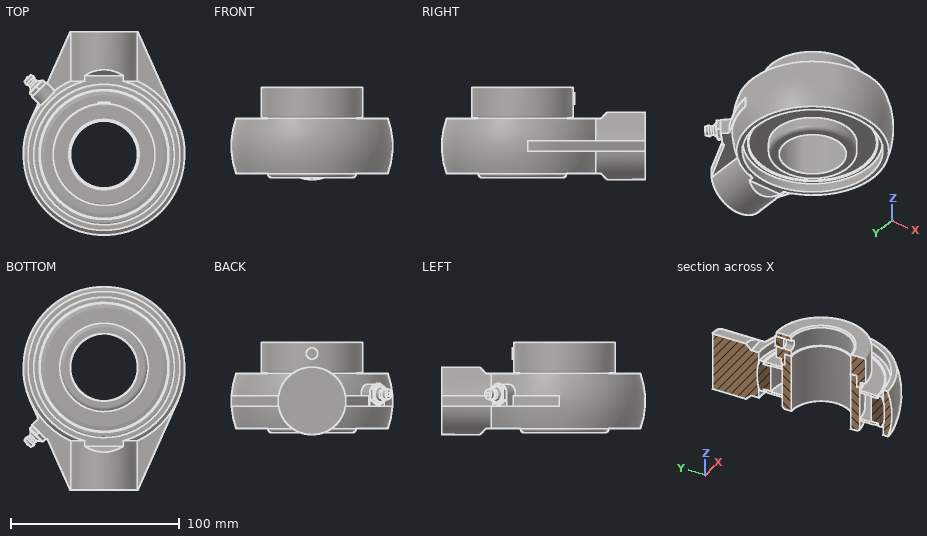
import cadquery as cq
import math

cutter_margin = 1.2

sphere_radius = 47.9
housing_half_height = 16.4
seat_radius = 85.2 / 2
opening_radius = 83.2 / 2

boss_radius = 40.0 / 2
boss_end_y = 72.7
boss_relief_y = 46.5

web_half_thickness = 3.0
web_radius = 48.0
web_tip_y = 3.0

grease_angle = 135
grease_axis_z = 4.0
grease_boss_radius = 6.0
grease_boss_end = 54.3
hex_across_flats = 11.1
hex_height = 2.5
nipple_base_radius = 5.1
nipple_base_height = 0.4
nipple_cone_radius = 4.5
nipple_cone_height = 1.8
nipple_shoulder_radius = 2.9
nipple_shoulder_height = 0.7
nipple_neck_radius = 2.7
nipple_neck_height = 0.7
nipple_head_radius = 6.8 / 2
nipple_flare_height = 1.5
nipple_tip_radius = 2.8
nipple_taper_height = 2.2
nipple_point_radius = 2.5 / 2
nipple_point_height = 0.5

bore_radius = 39.7 / 2
outer_ring_half_width = 11.0
outer_ring_fillet = 0.8
outer_ring_bore_radius = 67.1 / 2
seal_seat_radius = 38.5
seal_rim_radius = 37.9
seal_step_radius = 70.3 / 2
seal_face_z = outer_ring_half_width
seal_thickness = 1.8
seal_inside_z = seal_face_z - seal_thickness
seal_step = 0.5

inner_ring_radius = 52.3 / 2
inner_ring_journal_radius = 48.7 / 2
inner_ring_bottom_z = -18.9
inner_ring_top_z = 20.9
inner_ring_fillet = 2.5
inner_ring_chamfer = 0.4

collar_radius = 60.3 / 2
collar_bottom_z = 16.5
collar_hub_radius = 53.2 / 2
collar_hub_bottom_z = 13.0
collar_top_z = 34.9
collar_edge_fillet = 1.1
collar_bore_chamfer = 1.0
screw_radius = 6.8 / 2
screw_z = 28.1
screw_protrusion = 0.7
screw_length = 6.0


def cylinder(radius, bottom_z, top_z):
    return cq.Workplane("XY").workplane(offset=bottom_z).circle(radius).extrude(top_z - bottom_z)


def revolve_about_z(points):
    """Turn a closed (radius, z) outline into a ring around the bore axis."""
    return cq.Workplane("XZ").polyline(points).close().revolve(360, (0, 0), (0, 1))


def cylinder_along_y(radius, start_y, end_y, z):
    plane = cq.Plane(origin=(0, start_y, z), xDir=(1, 0, 0), normal=(0, 1, 0))
    return cq.Workplane(plane).circle(radius).extrude(end_y - start_y)


def radial_plane(distance):
    """Plane square to the grease axis; its local Y is up."""
    angle = math.radians(grease_angle)
    out = (math.cos(angle), math.sin(angle), 0)
    return cq.Plane(
        origin=(distance * out[0], distance * out[1], grease_axis_z),
        xDir=(-out[1], out[0], 0),
        normal=out,
    )


def mounting_boss():
    boss = cylinder_along_y(boss_radius, 0, boss_end_y, 0)
    rise = boss_radius - housing_half_height + cutter_margin
    top = housing_half_height + rise
    relief_end = boss_relief_y + rise
    envelope = (
        cq.Workplane("YZ")
        .polyline([
            (0, -housing_half_height),
            (boss_relief_y, -housing_half_height),
            (relief_end, -top),
            (boss_end_y, -top),
            (boss_end_y, top),
            (relief_end, top),
            (boss_relief_y, housing_half_height),
            (0, housing_half_height),
        ])
        .close()
        .extrude(boss_radius + cutter_margin, both=True)
    )
    return boss.intersect(envelope)


def web():
    corner_distance = math.hypot(boss_radius, boss_end_y)
    tangent_angle = math.atan2(boss_end_y, boss_radius) - math.acos(web_radius / corner_distance)
    middle_angle = (tangent_angle + math.asin(web_tip_y / web_radius)) / 2

    def on_edge(angle):
        return web_radius * math.cos(angle), web_radius * math.sin(angle)

    tangent_x, tangent_y = on_edge(tangent_angle)
    middle_x, middle_y = on_edge(middle_angle)
    tip_x = math.sqrt(web_radius**2 - web_tip_y**2)
    return (
        cq.Workplane("XY")
        .workplane(offset=-web_half_thickness)
        .moveTo(-boss_radius, boss_end_y)
        .lineTo(boss_radius, boss_end_y)
        .lineTo(tangent_x, tangent_y)
        .threePointArc((middle_x, middle_y), (tip_x, web_tip_y))
        .lineTo(-tip_x, web_tip_y)
        .threePointArc((-middle_x, middle_y), (-tangent_x, tangent_y))
        .close()
        .extrude(2 * web_half_thickness)
    )


def grease_boss():
    floor = -web_half_thickness - grease_axis_z
    return (
        cq.Workplane(radial_plane(seat_radius))
        .moveTo(-grease_boss_radius, floor)
        .lineTo(grease_boss_radius, floor)
        .lineTo(grease_boss_radius, 0)
        .threePointArc((0, grease_boss_radius), (-grease_boss_radius, 0))
        .close()
        .extrude(grease_boss_end - seat_radius)
    )


def make_housing():
    slab = cylinder(sphere_radius + cutter_margin, -housing_half_height, housing_half_height)
    body = cq.Workplane("XY").sphere(sphere_radius).intersect(slab)
    body = body.union(mounting_boss()).union(web()).union(grease_boss())
    opening = cylinder(opening_radius, -housing_half_height, housing_half_height)
    return body.cut(opening).cut(cq.Workplane("XY").sphere(seat_radius))


def make_grease_nipple():
    corner_up = 90
    hexagon_diameter = hex_across_flats / math.cos(math.pi / 6)
    hexagon = (
        cq.Workplane(radial_plane(grease_boss_end))
        .transformed(rotate=(0, 0, corner_up))
        .polygon(6, hexagon_diameter)
        .extrude(hex_height)
    )
    base_top = nipple_base_height
    cone_top = base_top + nipple_cone_height
    shoulder_top = cone_top + nipple_shoulder_height
    neck_top = shoulder_top + nipple_neck_height
    flare_top = neck_top + nipple_flare_height
    tip = flare_top + nipple_taper_height
    stem = (
        cq.Workplane("XZ")
        .moveTo(0, 0)
        .lineTo(nipple_base_radius, 0)
        .lineTo(nipple_base_radius, base_top)
        .lineTo(nipple_cone_radius, base_top)
        .lineTo(nipple_shoulder_radius, cone_top)
        .lineTo(nipple_neck_radius, shoulder_top)
        .lineTo(nipple_neck_radius, neck_top)
        .lineTo(nipple_head_radius, flare_top)
        .lineTo(nipple_tip_radius, tip)
        .lineTo(nipple_point_radius, tip)
        .lineTo(0, tip + nipple_point_height)
        .close()
        .revolve(360, (0, 0), (0, 1))
    )
    seat = cq.Location(radial_plane(grease_boss_end + hex_height))
    return hexagon.union(cq.Workplane(stem.val().moved(seat)))


def make_outer_ring():
    face_z = outer_ring_half_width
    slab = cylinder(seat_radius + cutter_margin, -face_z, face_z)
    ring = cq.Workplane("XY").sphere(seat_radius).intersect(slab)
    ring = ring.faces("<Z or >Z").edges().fillet(outer_ring_fillet)
    ring = ring.cut(cylinder(outer_ring_bore_radius, -face_z, face_z))
    ring = ring.cut(cylinder(seal_seat_radius, seal_inside_z, face_z))
    return ring.cut(cylinder(seal_seat_radius, -face_z, -seal_inside_z))


def make_seal(side):
    """Sealing ring; side is +1 for the upper one and -1 for the lower one."""
    rim_z = seal_face_z - seal_step
    outline = [
        (inner_ring_radius, seal_inside_z),
        (seal_seat_radius, seal_inside_z),
        (seal_rim_radius, rim_z),
        (seal_step_radius, seal_face_z),
        (inner_ring_radius, seal_face_z),
    ]
    return revolve_about_z([(radius, side * z) for radius, z in outline])


def make_inner_ring():
    ring = cylinder(inner_ring_radius, inner_ring_bottom_z, collar_hub_bottom_z)
    ring = ring.faces("<Z").edges().fillet(inner_ring_fillet)
    ring = ring.union(cylinder(inner_ring_journal_radius, collar_hub_bottom_z, inner_ring_top_z))
    ring = ring.cut(cylinder(bore_radius, inner_ring_bottom_z, inner_ring_top_z))
    bore_rim = ring.faces(">Z").edges(cq.selectors.RadiusNthSelector(0))
    return bore_rim.chamfer(inner_ring_chamfer)


def make_collar():
    collar = cylinder(collar_radius, collar_bottom_z, collar_top_z)
    collar = collar.edges("%CIRCLE").fillet(collar_edge_fillet)
    collar = collar.union(cylinder(collar_hub_radius, collar_hub_bottom_z, inner_ring_top_z))
    collar = collar.cut(cylinder(bore_radius, collar_hub_bottom_z, collar_top_z))
    bore_rim = collar.faces(">Z").edges(cq.selectors.RadiusNthSelector(0))
    collar = bore_rim.chamfer(collar_bore_chamfer)
    collar = collar.cut(cylinder(inner_ring_journal_radius, collar_hub_bottom_z, inner_ring_top_z))
    return collar.cut(cylinder_along_y(screw_radius, 0, collar_radius, screw_z))


def make_set_screw():
    outer_end = collar_radius + screw_protrusion
    return cylinder_along_y(screw_radius, outer_end - screw_length, outer_end, screw_z)


housing = make_housing()
grease_nipple = make_grease_nipple()
outer_ring = make_outer_ring()
inner_ring = make_inner_ring()
seals = [make_seal(side) for side in (1, -1)]
collar = make_collar()
set_screw = make_set_screw()

result = cq.Compound.makeCompound([
    housing.val(),
    grease_nipple.val(),
    outer_ring.val(),
    inner_ring.val(),
    *[seal.val() for seal in seals],
    collar.val(),
    set_screw.val(),
])